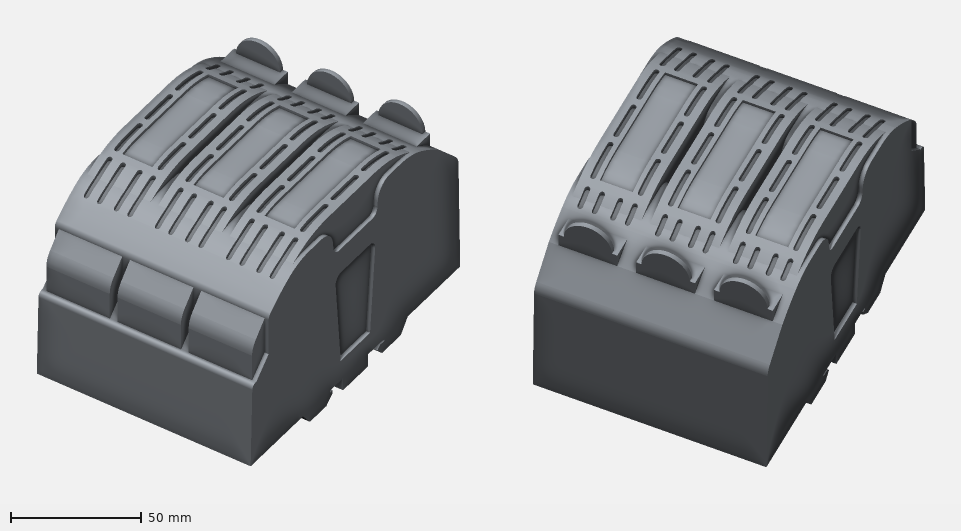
import cadquery as cq

WIDTH = 99.0
HALF_DEPTH = 72.0
BASE_Z = 6.0
TOP_Z = 91.2

MODULE_PITCH = 33.0
MODULE_XS = [-MODULE_PITCH, 0, MODULE_PITCH]
COVER_WIDTH = 29.4

WALL_Y = 70.8
BACK_WALL_Z = 58.5
BACK_SLOPE_START = (57.5, 74.7)
BACK_SLOPE_END = (68.8, 63.2)
SHOULDER_Y = 45.2
SHOULDER_Z = 82.5
SHOULDER_RADIUS = 76.3
DECK_Z = 86.0
DECK_OUTER_Y = 31.2
DECK_INNER_Y = 23.3
VALLEY_Z = 72.0
VALLEY_HALF = 11.7
VALLEY_WALL_TOP = (15.4, 78.5)
VALLEY_WALL_FOOT = (15.1, 75.7)

LEDGE_Z = 45.8
LEDGE_ROUND_Y = 69.0
LEDGE_ROUND_Z = 43.6
NICHE_FOOT_Y = 68.0
NICHE_Y = 59.6
NICHE_FOOT_Z = 53.7
NICHE_TOP_Z = 70.8
BROW_Y = 58.2
BROW_Z = 73.6

HANDLE_FACE_Y = 68.3
HANDLE_ROUND_Z = 58.0
HANDLE_SLOPE_END = (65.7, 64.4)
HANDLE_ROOT_Y = 58.2

COVER_HALF = 40.6
COVER_EDGE_Z = 84.4
COVER_FLAT_HALF = 16.0

PANEL_WIDTH = 14.0
PANEL_DEPTH = 1.5
PANEL_BACK_Y = 31.7
PANEL_FRONT_Y = -27.5

SLOT_WIDTH = 2.3
SLOT_DEPTH = 2.3
OUTER_SLOT_X = 10.1
INNER_SLOT_X = 3.9
SLOT_LENGTH = 17.9
SLOT_PITCH = 20.9
MIDDLE_SLOT_Y = 2.3
BACK_SLOT_LENGTH = 8.6
BACK_SLOT_Y = 39.6
SLOT_BREAK_FRONT = (-34.1, 85.5)
SLOT_BREAK_BACK = (39.7, 82.8)
SLOT_FLOOR_FRONT = (-51.8, 76.6)
SLOT_FLOOR_BACK = (46.1, 79.9)
SLOT_FLOOR_RADIUS = 49.7

TAG_WIDTH = 24.9
TAG_BACK_Y = 57.5
TAG_FRONT_Y = 46.1
TAG_Z = 81.0
TAG_FOOT_Z = 69.1
TAB_RADIUS = TOP_Z - TAG_Z
TAB_THICKNESS = 2.0

POCKET_DEPTH = 1.9
POCKET_BOTTOM_Z = 15.8
POCKET_TOP_Z = 60.2
POCKET_BOTTOM_HALF = 10.1
POCKET_TOP_HALF = 14.0
POCKET_CORNER = 3.9

FOOT_OUTER_Y = 36.0
FOOT_TIP_Y = 31.2
CENTRE_FOOT_HALF = 8.5
HOOK_Z = 5.0
HOOK_TIP_Z = 3.5
BACK_HOOK_YS = (18.3, 15.1, 16.8, 20.0)
FRONT_HOOK_YS = (-20.0, -15.7, -15.7, -17.5)


def along_x(sketch, width, x=0):
    """Extrude a closed YZ outline, centred on the given X."""
    return sketch.extrude(width / 2, both=True).translate((x, 0, 0))


def yz():
    return cq.Workplane("YZ")


def make_housing():
    outline = (
        yz()
        .moveTo(-HALF_DEPTH, BASE_Z)
        .lineTo(-WALL_Y, LEDGE_ROUND_Z)
        .tangentArcPoint((-LEDGE_ROUND_Y, LEDGE_Z), relative=False)
        .lineTo(-NICHE_FOOT_Y, LEDGE_Z)
        .lineTo(-NICHE_Y, NICHE_FOOT_Z)
        .lineTo(-NICHE_Y, NICHE_TOP_Z)
        .tangentArcPoint((-BROW_Y, BROW_Z), relative=False)
        .radiusArc((-SHOULDER_Y, SHOULDER_Z), SHOULDER_RADIUS)
        .tangentArcPoint((-DECK_OUTER_Y, DECK_Z), relative=False)
        .lineTo(-DECK_INNER_Y, DECK_Z)
        .tangentArcPoint((-VALLEY_WALL_TOP[0], VALLEY_WALL_TOP[1]), relative=False)
        .lineTo(-VALLEY_WALL_FOOT[0], VALLEY_WALL_FOOT[1])
        .tangentArcPoint((-VALLEY_HALF, VALLEY_Z), relative=False)
        .lineTo(VALLEY_HALF, VALLEY_Z)
        .tangentArcPoint(VALLEY_WALL_FOOT, relative=False)
        .lineTo(*VALLEY_WALL_TOP)
        .tangentArcPoint((DECK_INNER_Y, DECK_Z), relative=False)
        .lineTo(DECK_OUTER_Y, DECK_Z)
        .tangentArcPoint((SHOULDER_Y, SHOULDER_Z), relative=False)
        .radiusArc(BACK_SLOPE_START, SHOULDER_RADIUS)
        .lineTo(*BACK_SLOPE_END)
        .tangentArcPoint((WALL_Y, BACK_WALL_Z), relative=False)
        .lineTo(HALF_DEPTH, BASE_Z)
        .close()
    )
    return along_x(outline, WIDTH)


def make_hook_foot(side, hook_ys):
    sole_y, tip_y, lip_y, root_y = hook_ys
    outline = [
        (side * FOOT_OUTER_Y, BASE_Z),
        (side * FOOT_TIP_Y, 0),
        (sole_y, 0),
        (tip_y, HOOK_TIP_Z),
        (lip_y, HOOK_Z),
        (root_y, HOOK_Z),
        (root_y, BASE_Z),
    ]
    return along_x(yz().polyline(outline).close(), WIDTH)


def make_centre_foot():
    return cq.Workplane("XY").rect(WIDTH, 2 * CENTRE_FOOT_HALF).extrude(BASE_Z)


def make_cover(x):
    outline = (
        yz()
        .moveTo(0, VALLEY_Z)
        .lineTo(0, TOP_Z)
        .lineTo(COVER_FLAT_HALF, TOP_Z)
        .tangentArcPoint((COVER_HALF, COVER_EDGE_Z), relative=False)
        .lineTo(COVER_HALF, VALLEY_Z)
        .close()
    )
    half = along_x(outline, COVER_WIDTH, x)
    return half.union(half.mirror("XZ"))


def make_handle(x):
    outline = (
        yz()
        .moveTo(-HANDLE_ROOT_Y, LEDGE_Z)
        .lineTo(-HANDLE_ROOT_Y, NICHE_TOP_Z)
        .lineTo(-NICHE_Y, NICHE_TOP_Z)
        .lineTo(-HANDLE_SLOPE_END[0], HANDLE_SLOPE_END[1])
        .tangentArcPoint((-HANDLE_FACE_Y, HANDLE_ROUND_Z), relative=False)
        .lineTo(-HANDLE_FACE_Y, LEDGE_Z)
        .close()
    )
    return along_x(outline, COVER_WIDTH, x)


def make_tag(x):
    block = cq.Workplane("XY").box(
        TAG_WIDTH, TAG_BACK_Y - TAG_FRONT_Y, TAG_Z - TAG_FOOT_Z, centered=(True, False, False)
    ).translate((x, TAG_FRONT_Y, TAG_FOOT_Z))
    tab = (
        cq.Workplane("XZ", origin=(x, TAG_BACK_Y, TAG_Z))
        .moveTo(-TAB_RADIUS, 0)
        .threePointArc((0, TAB_RADIUS), (TAB_RADIUS, 0))
        .close()
        .extrude(TAB_THICKNESS)
    )
    return block.union(tab)


def make_panel_cut(x):
    """The panel floor runs parallel to the curved cover."""
    sides = (
        cq.Workplane("XY", origin=(x, (PANEL_BACK_Y + PANEL_FRONT_Y) / 2, VALLEY_Z))
        .rect(PANEL_WIDTH, PANEL_BACK_Y - PANEL_FRONT_Y)
        .extrude(TOP_Z - VALLEY_Z)
    )
    return sides.cut(make_cover(x).translate((0, 0, -PANEL_DEPTH)))


def make_slot_cuts():
    below_floor = (
        yz()
        .moveTo(0, VALLEY_Z)
        .lineTo(SLOT_FLOOR_BACK[0], VALLEY_Z)
        .lineTo(*SLOT_FLOOR_BACK)
        .lineTo(*SLOT_BREAK_BACK)
        .radiusArc((COVER_FLAT_HALF, TOP_Z - SLOT_DEPTH), -SLOT_FLOOR_RADIUS)
        .lineTo(-COVER_FLAT_HALF, TOP_Z - SLOT_DEPTH)
        .tangentArcPoint(SLOT_BREAK_FRONT, relative=False)
        .radiusArc(SLOT_FLOOR_FRONT, -SHOULDER_RADIUS)
        .lineTo(SLOT_FLOOR_FRONT[0], VALLEY_Z)
        .close()
    )
    columns = [
        x + side * offset
        for x in MODULE_XS
        for side in (-1, 1)
        for offset in (INNER_SLOT_X, OUTER_SLOT_X)
    ]
    outer_columns = [x + side * OUTER_SLOT_X for x in MODULE_XS for side in (-1, 1)]
    rows = [
        (columns, BACK_SLOT_Y, BACK_SLOT_LENGTH),
        (outer_columns, MIDDLE_SLOT_Y + SLOT_PITCH, SLOT_LENGTH),
        (outer_columns, MIDDLE_SLOT_Y, SLOT_LENGTH),
        (outer_columns, MIDDLE_SLOT_Y - SLOT_PITCH, SLOT_LENGTH),
        (columns, MIDDLE_SLOT_Y - 2 * SLOT_PITCH, SLOT_LENGTH),
    ]
    slots = cq.Workplane("XY")
    for xs, y, length in rows:
        slots = slots.add(
            cq.Workplane("XY", origin=(0, 0, VALLEY_Z))
            .pushPoints([(x, y) for x in xs])
            .slot2D(length, SLOT_WIDTH, 90)
            .extrude(TOP_Z - VALLEY_Z)
        )
    return slots.combine().cut(along_x(below_floor, WIDTH))


def make_pocket_cuts():
    outline = [
        (-POCKET_BOTTOM_HALF, POCKET_BOTTOM_Z),
        (POCKET_BOTTOM_HALF, POCKET_BOTTOM_Z),
        (POCKET_TOP_HALF, POCKET_TOP_Z),
        (-POCKET_TOP_HALF, POCKET_TOP_Z),
    ]
    left = (
        cq.Workplane("YZ", origin=(-WIDTH / 2, 0, 0))
        .polyline(outline)
        .close()
        .extrude(POCKET_DEPTH)
        .edges("|X and >Z")
        .fillet(POCKET_CORNER)
    )
    return left.union(left.mirror("YZ"))


result = (
    make_housing()
    .union(make_hook_foot(1, BACK_HOOK_YS))
    .union(make_hook_foot(-1, FRONT_HOOK_YS))
    .union(make_centre_foot())
)
for module_x in MODULE_XS:
    result = result.union(make_cover(module_x))
    result = result.union(make_handle(module_x))
    result = result.union(make_tag(module_x))
    result = result.cut(make_panel_cut(module_x))
result = result.cut(make_slot_cuts()).cut(make_pocket_cuts())